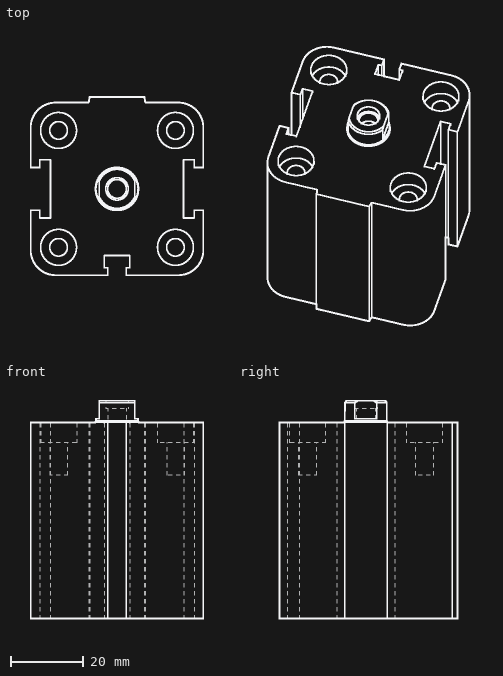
import cadquery as cq

body_width = 48.0
body_height = 54.45
corner_radius = 7.0
half_width = body_width / 2

rail_height = 1.5
rail_base_width = 15.7
rail_top_width = 15.25

side_slot = {"opening": 11.8, "lip": 2.6, "inner": 16.05, "depth": 5.5}
front_slot = {"opening": 5.0, "lip": 2.2, "inner": 7.0, "depth": 5.5}

hole_spacing = 32.4
counterbore_diameter = 10.0
counterbore_depth = 5.5
hole_diameter = 4.9
hole_depth = 14.5

total_height = 60.5
rod_height = total_height - body_height
rod_diameter = 12.0
nose_diameter = 11.7
tip_diameter = 10.8
shoulder_bottom = 0.25
shoulder_top = 0.5
tip_chamfer_height = 0.6

flat_spacing = 10.0
flat_bottom = 1.0

bore_diameter = 5.2
mouth_diameter = 6.25
mouth_depth = 2.2


def t_slot(opening, lip, inner, depth):
    """Full-height T-slot cutter entering the -Y side of the housing."""
    half_opening = opening / 2
    half_inner = inner / 2
    return (
        cq.Workplane("XY")
        .moveTo(-half_opening, -half_width)
        .lineTo(half_opening, -half_width)
        .lineTo(half_opening, -half_width + lip)
        .lineTo(half_inner, -half_width + lip)
        .lineTo(half_inner, -half_width + depth)
        .lineTo(-half_inner, -half_width + depth)
        .lineTo(-half_inner, -half_width + lip)
        .lineTo(-half_opening, -half_width + lip)
        .close()
        .extrude(body_height)
    )


def make_rear_rail():
    """Full-height ridge on the +Y side, with sloping flanks."""
    return (
        cq.Workplane("XY")
        .moveTo(-rail_base_width / 2, half_width)
        .lineTo(rail_base_width / 2, half_width)
        .lineTo(rail_top_width / 2, half_width + rail_height)
        .lineTo(-rail_top_width / 2, half_width + rail_height)
        .close()
        .extrude(body_height)
    )


def make_housing():
    """Square block with rounded corners, rear rail, three T-slots and corner holes."""
    housing = (
        cq.Workplane("XY")
        .rect(body_width, body_width)
        .extrude(body_height)
        .edges("|Z")
        .fillet(corner_radius)
    )
    housing = housing.union(make_rear_rail())

    housing = housing.cut(t_slot(**front_slot))
    for angle in (-90, 90):
        housing = housing.cut(t_slot(**side_slot).rotate((0, 0, 0), (0, 0, 1), angle))

    return (
        housing.faces(">Z")
        .workplane(origin=(0, 0, body_height))
        .rect(hole_spacing, hole_spacing, forConstruction=True)
        .vertices()
        .cboreHole(hole_diameter, counterbore_diameter, counterbore_depth, hole_depth)
    )


def make_wrench_flats():
    """Cutter that leaves the rod flat on its -X and +X sides."""
    blank_size = 2 * rod_diameter
    return (
        cq.Workplane("XY")
        .workplane(offset=body_height + flat_bottom)
        .rect(blank_size, blank_size)
        .rect(flat_spacing, rod_diameter)
        .extrude(rod_height - flat_bottom)
    )


def make_rod():
    """Turned rod end with a small shoulder, wrench flats and a stepped bore."""
    rod = (
        cq.Workplane("XZ")
        .moveTo(0, 0)
        .lineTo(rod_diameter / 2, 0)
        .lineTo(rod_diameter / 2, shoulder_bottom)
        .lineTo(nose_diameter / 2, shoulder_top)
        .lineTo(nose_diameter / 2, rod_height - tip_chamfer_height)
        .lineTo(tip_diameter / 2, rod_height)
        .lineTo(0, rod_height)
        .close()
        .revolve(360, (0, 0), (0, 1))
        .translate((0, 0, body_height))
    )
    rod = rod.cut(make_wrench_flats())
    return (
        rod.faces(">Z")
        .workplane(origin=(0, 0, total_height))
        .cboreHole(bore_diameter, mouth_diameter, mouth_depth)
    )


housing = make_housing()
rod = make_rod()

result = cq.Compound.makeCompound([housing.val(), rod.val()])